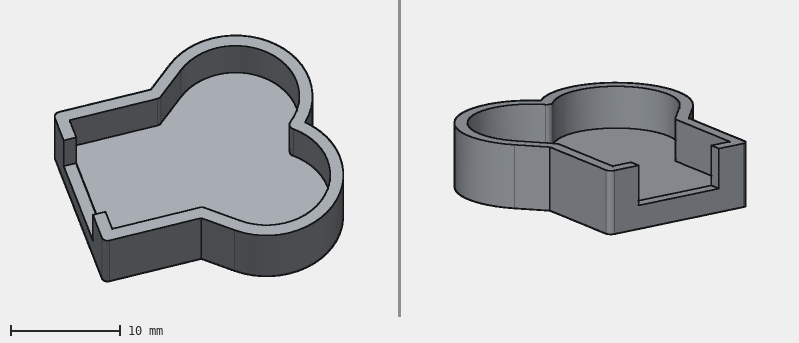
import cadquery as cq
import math

width = 23.52
length = 23.47
height = 6.07
wall = 1.2
floor_thickness = 2.1
notch_sill = 2.25
lobe_radius = 7.0
stem_width = 15.52
stem_length = 9.31
corner_radius = 0.56
notch_width = 8.98

lobe_x = width / 2 - lobe_radius
lobe_y = length - lobe_radius
stem_x = stem_width / 2
cusp_y = lobe_y + math.sqrt(lobe_radius**2 - lobe_x**2)


def lobe_point(angle):
    """Point on the right lobe at an angle measured from +X."""
    return (
        lobe_x + lobe_radius * math.cos(angle),
        lobe_y + lobe_radius * math.sin(angle),
    )


def mirrored(point):
    return (-point[0], point[1])


shoulder = (stem_x, stem_length)
shoulder_dx = stem_x - lobe_x
shoulder_dy = stem_length - lobe_y
shoulder_distance = math.hypot(shoulder_dx, shoulder_dy)
tangent_angle = math.atan2(shoulder_dy, shoulder_dx) + math.acos(lobe_radius / shoulder_distance)
tangent = lobe_point(tangent_angle)
lobe_middle = lobe_point(math.pi / 4)


def outline():
    """Closed outline of two lobes on a straight stem."""
    return (
        cq.Workplane("XY")
        .moveTo(-stem_x, 0)
        .lineTo(stem_x, 0)
        .lineTo(*shoulder)
        .lineTo(*tangent)
        .threePointArc(lobe_middle, (0, cusp_y))
        .threePointArc(mirrored(lobe_middle), mirrored(tangent))
        .lineTo(*mirrored(shoulder))
        .close()
    )


body = outline().extrude(height)
body = body.edges("|Z").edges("<Y").fillet(corner_radius)

cavity = outline().offset2D(-wall, "intersection").extrude(height - floor_thickness)
cavity = cavity.translate((0, 0, floor_thickness))
shoulder_zone = cq.selectors.BoxSelector(
    (-stem_x, stem_length - wall, 0),
    (stem_x, stem_length + wall, height),
)
cusp_zone = cq.selectors.BoxSelector(
    (-wall, lobe_y, 0),
    (wall, cusp_y, height),
)
cavity = cavity.edges("|Z").edges(shoulder_zone + cusp_zone).fillet(corner_radius)

notch = (
    cq.Workplane("XY")
    .box(notch_width, wall, height - notch_sill, centered=(True, False, False))
    .translate((0, 0, notch_sill))
)

result = body.cut(cavity).cut(notch)